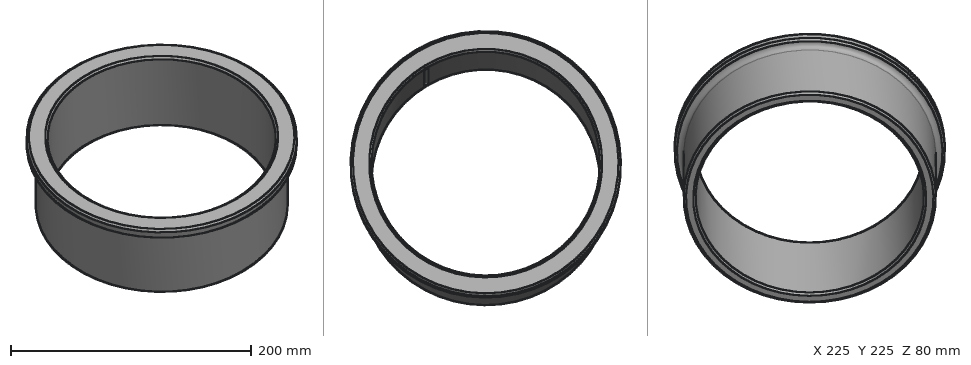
import cadquery as cq

height = 80.0
flange_radius = 112.5
sleeve_radius = 210.0 / 2
bore_radius = 190.0 / 2
flange_thickness = 10.1
chamfer = 2.0
neck_fillet = 5.0
groove_radius = 2.0
groove_end_gap = 5.0


def flanged_sleeve():
    """Tube with a flange at its top end, chamfered edges and a rounded neck."""
    sleeve = cq.Workplane("XY").circle(sleeve_radius).extrude(height)
    sleeve = sleeve.faces("<Z").edges().chamfer(chamfer)
    flange_underside = height - flange_thickness
    flange = (
        cq.Workplane("XY")
        .workplane(offset=flange_underside)
        .circle(flange_radius)
        .extrude(flange_thickness)
        .edges()
        .chamfer(chamfer)
    )
    body = sleeve.union(flange)
    smallest_circle = cq.selectors.RadiusNthSelector(0)
    underside = body.faces(cq.selectors.NearestToPointSelector((0, 0, flange_underside)))
    body = underside.edges(smallest_circle).fillet(neck_fillet)
    bore = cq.Workplane("XY").circle(bore_radius).extrude(height)
    body = body.cut(bore)
    for end in ("<Z", ">Z"):
        body = body.faces(end).edges(smallest_circle).chamfer(chamfer)
    return body


def bore_groove():
    """Half-round groove along the +X side of the bore, with a ball-shaped end top and bottom."""
    straight_bottom = groove_end_gap + groove_radius
    straight_top = height - straight_bottom
    groove = (
        cq.Workplane("XY", origin=(bore_radius, 0, straight_bottom))
        .circle(groove_radius)
        .extrude(straight_top - straight_bottom)
    )
    for end_height in (straight_bottom, straight_top):
        ball = cq.Workplane("XY", origin=(bore_radius, 0, end_height)).sphere(groove_radius)
        groove = groove.union(ball)
    return groove


result = flanged_sleeve().cut(bore_groove())